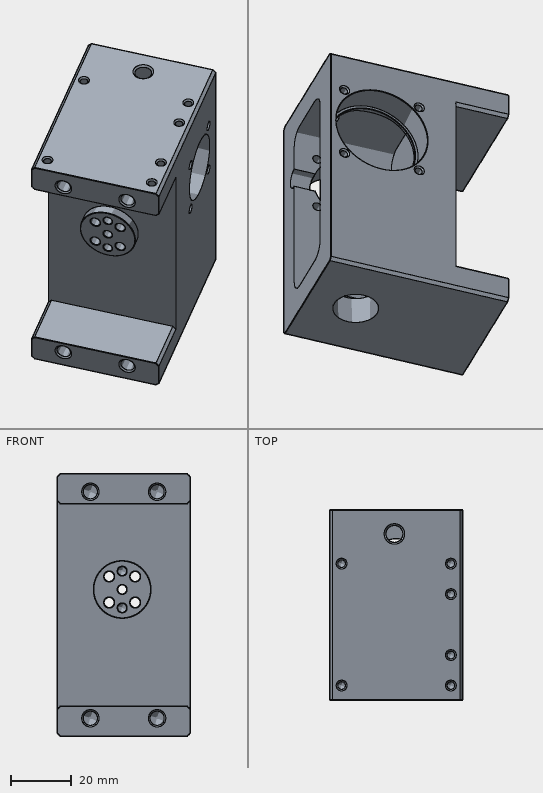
import cadquery as cq
import math

WIDTH = 43.8
DEPTH = 62.5
HEIGHT = 86.2
ARM_LENGTH = 18.5
ARM_THICKNESS = 9.9
LONG_EDGE_CHAMFER = 1.0
EDGE_BREAK = 0.2

BACK_Y = DEPTH / 2
FRONT_Y = -DEPTH / 2
BODY_FRONT_Y = FRONT_Y + ARM_LENGTH
LEFT_X = -WIDTH / 2
TOP_Z = HEIGHT / 2
GAP_HEIGHT = HEIGHT - 2 * ARM_THICKNESS

SIDE_WALL = ARM_THICKNESS
FRONT_WALL = ARM_THICKNESS
CAVITY_FILLET = 5.2
CAVITY_WIDTH = WIDTH - 2 * SIDE_WALL
CAVITY_HEIGHT = GAP_HEIGHT
CAVITY_DEPTH = BACK_Y - BODY_FRONT_Y - FRONT_WALL

BORE_Y = BACK_Y - 17.9
BORE_Z = 15.35
BORE_DIAMETER = 32.1
LIP_DIAMETER = 30.0
LIP_THICKNESS = 1.0
MOTOR_PILOT_DIAMETER = 22.2
MOTOR_HOLE_DIAMETER = 3.1
MOTOR_HOLE_OFFSET = 9.8
COVER_HOLE_OFFSET = 13.1
CABLE_SLOT_DIAMETER = 7.15

BOSS_X = -0.5
BOSS_Z = 5.1
BOSS_DIAMETER = 19.0
BOSS_HEIGHT = 3.2
BOSS_CENTRE_HOLE = 2.9
BOSS_RING_HOLE = 3.3
BOSS_RING_RADIUS = 6.0
BOSS_BLIND_DEPTH = 6.9

TAP_DIAMETER = 2.5
TAP_MOUTH = 3.5
TAP_DEPTH = 6.0
TOP_HOLE_X = 17.9
TOP_HOLE_PITCH = 10.0
TOP_HOLE_FRONT_Y = FRONT_Y + 4.8

ARM_HOLE_DIAMETER = 4.65
ARM_HOLE_MOUTH = 5.7
ARM_HOLE_DEPTH = 10.35
ARM_HOLE_X = 10.95
ARM_HOLE_Z = 37.15

TOP_PORT_X = -0.6
TOP_PORT_Y = BACK_Y - 7.9
TOP_PORT_DIAMETER = 5.5
TOP_PORT_MOUTH = 6.7
BOTTOM_OPENING_DIAMETER = 15.0
BOTTOM_OPENING_Y = BACK_Y - CAVITY_DEPTH / 2

DRILL_POINT_ANGLE = 118
SELECTION_MARGIN = 0.1
INTO_X = (1, 0, 0)
INTO_Y = (0, 1, 0)
FORWARD = (0, -1, 0)
DOWN = (0, 0, -1)


def cylinder(point, direction, diameter, length):
    """Round bar starting at a point and running along a direction."""
    return cq.Workplane(cq.Solid.makeCylinder(diameter / 2, length, cq.Vector(point), cq.Vector(direction)))


def cone(point, direction, diameter, end_diameter, length):
    """Round taper starting at a point and running along a direction."""
    return cq.Workplane(
        cq.Solid.makeCone(diameter / 2, end_diameter / 2, length, cq.Vector(point), cq.Vector(direction))
    )


def mouth(point, direction, diameter, mouth_diameter):
    """45 degree countersink from the mouth diameter down to the hole diameter."""
    return cone(point, direction, mouth_diameter, diameter, (mouth_diameter - diameter) / 2)


def blind_hole(point, direction, diameter, depth):
    """Drilled hole with a conical bottom."""
    tip_length = diameter / 2 / math.tan(math.radians(DRILL_POINT_ANGLE / 2))
    bottom = cq.Vector(point) + cq.Vector(direction) * depth
    tip = cone(bottom, direction, diameter, 0, tip_length)
    return cylinder(point, direction, diameter, depth).union(tip)


def tapped_hole(point, direction, diameter, mouth_diameter, depth):
    """Blind hole with a countersunk mouth."""
    hole = blind_hole(point, direction, diameter, depth)
    return hole.union(mouth(point, direction, diameter, mouth_diameter))


def broken_edge(point, direction, diameter):
    """Slight countersink that takes the sharp edge off a round hole."""
    return mouth(point, direction, diameter, diameter + 2 * EDGE_BREAK)


def small_tap(point, direction):
    """Small tapped hole of the top face and the bore cover."""
    return tapped_hole(point, direction, TAP_DIAMETER, TAP_MOUTH, TAP_DEPTH)


def make_block():
    """C-shaped block with chamfered long edges, arm edges and end faces."""
    block = cq.Workplane("XY").box(WIDTH, DEPTH, HEIGHT)
    block = block.edges("|Y").chamfer(LONG_EDGE_CHAMFER)
    block = block.faces(">Y").edges().chamfer(EDGE_BREAK)
    gap = (
        cq.Workplane("XZ", origin=(0, BODY_FRONT_Y, 0))
        .rect(WIDTH, GAP_HEIGHT)
        .extrude(ARM_LENGTH)
    )
    block = block.cut(gap)
    inner_arm_edges = cq.selectors.BoxSelector(
        (-WIDTH, FRONT_Y, -GAP_HEIGHT / 2 - SELECTION_MARGIN),
        (WIDTH, BODY_FRONT_Y, GAP_HEIGHT / 2 + SELECTION_MARGIN),
    )
    block = block.edges("|Y").edges(inner_arm_edges).chamfer(LONG_EDGE_CHAMFER)
    return block.faces("<Y").edges().chamfer(EDGE_BREAK)


def make_cavity():
    """Rounded box that hollows the housing from the back."""
    return (
        cq.Workplane("XZ", origin=(0, BACK_Y, 0))
        .rect(CAVITY_WIDTH, CAVITY_HEIGHT)
        .extrude(CAVITY_DEPTH)
        .edges("|Y")
        .fillet(CAVITY_FILLET)
    )


def square_corners(offset):
    """Y and Z offsets of the corners of a square around the bore axis."""
    return [(sy * offset, sz * offset) for sy in (-1, 1) for sz in (-1, 1)]


def make_side_cuts():
    """Lipped bore, its cover holes, the motor mount and the cable slot."""
    bore_face = (LEFT_X, BORE_Y, BORE_Z)
    motor_face_x = WIDTH / 2 - SIDE_WALL
    bore_depth = SIDE_WALL - LIP_THICKNESS
    lip_face = (LEFT_X + bore_depth, BORE_Y, BORE_Z)
    cuts = cylinder(bore_face, INTO_X, BORE_DIAMETER, bore_depth)
    cuts = cuts.union(broken_edge(bore_face, INTO_X, BORE_DIAMETER))
    cuts = cuts.union(broken_edge(lip_face, INTO_X, LIP_DIAMETER))
    cuts = cuts.union(cylinder(bore_face, INTO_X, LIP_DIAMETER, WIDTH / 2))
    cuts = cuts.union(cylinder(bore_face, INTO_X, MOTOR_PILOT_DIAMETER, WIDTH))
    for dy, dz in square_corners(MOTOR_HOLE_OFFSET):
        start = (0, BORE_Y + dy, BORE_Z + dz)
        cuts = cuts.union(cylinder(start, INTO_X, MOTOR_HOLE_DIAMETER, WIDTH / 2))
    for dy, dz in square_corners(COVER_HOLE_OFFSET):
        cuts = cuts.union(small_tap((LEFT_X, BORE_Y + dy, BORE_Z + dz), INTO_X))
    slot_start = (motor_face_x, BORE_Y, BORE_Z)
    return cuts.union(cylinder(slot_start, INTO_Y, CABLE_SLOT_DIAMETER, BACK_Y - BORE_Y))


def make_boss():
    """Round boss with a broken front edge, standing on the front wall."""
    boss = cylinder((BOSS_X, BODY_FRONT_Y, BOSS_Z), FORWARD, BOSS_DIAMETER, BOSS_HEIGHT)
    return boss.faces("<Y").edges().chamfer(EDGE_BREAK)


def make_boss_cuts():
    """Centre hole and four diagonal holes into the cavity, two blind holes above and below."""
    face_y = BODY_FRONT_Y - BOSS_HEIGHT
    through = BOSS_HEIGHT + FRONT_WALL
    centre = (BOSS_X, face_y, BOSS_Z)
    cuts = cylinder(centre, INTO_Y, BOSS_CENTRE_HOLE, through)
    cuts = cuts.union(broken_edge(centre, INTO_Y, BOSS_CENTRE_HOLE))
    for angle in (45, 135, 225, 315):
        x = BOSS_X + BOSS_RING_RADIUS * math.cos(math.radians(angle))
        z = BOSS_Z + BOSS_RING_RADIUS * math.sin(math.radians(angle))
        start = (x, face_y, z)
        cuts = cuts.union(cylinder(start, INTO_Y, BOSS_RING_HOLE, through))
        cuts = cuts.union(broken_edge(start, INTO_Y, BOSS_RING_HOLE))
    for dz in (-BOSS_RING_RADIUS, BOSS_RING_RADIUS):
        start = (BOSS_X, face_y, BOSS_Z + dz)
        cuts = cuts.union(blind_hole(start, INTO_Y, BOSS_CENTRE_HOLE, BOSS_BLIND_DEPTH))
        cuts = cuts.union(broken_edge(start, INTO_Y, BOSS_CENTRE_HOLE))
    return cuts


def make_arm_holes():
    """Two tapped holes in the end of each arm."""
    cuts = cq.Workplane()
    for x in (-ARM_HOLE_X, ARM_HOLE_X):
        for z in (-ARM_HOLE_Z, ARM_HOLE_Z):
            start = (x, FRONT_Y, z)
            cuts = cuts.add(
                tapped_hole(start, INTO_Y, ARM_HOLE_DIAMETER, ARM_HOLE_MOUTH, ARM_HOLE_DEPTH)
            )
    return cuts.combine()


def make_top_holes():
    """Tapped holes on a common pitch: two along the left edge, four along the right edge."""
    cuts = cq.Workplane()
    for x, steps in ((-TOP_HOLE_X, (0, 4)), (TOP_HOLE_X, (0, 1, 3, 4))):
        for step in steps:
            y = TOP_HOLE_FRONT_Y + step * TOP_HOLE_PITCH
            cuts = cuts.add(small_tap((x, y, TOP_Z), DOWN))
    return cuts.combine()


def make_ports():
    """Countersunk port through the top wall and a round opening through the bottom wall."""
    start = (TOP_PORT_X, TOP_PORT_Y, TOP_Z)
    port = cylinder(start, DOWN, TOP_PORT_DIAMETER, ARM_THICKNESS)
    port = port.union(mouth(start, DOWN, TOP_PORT_DIAMETER, TOP_PORT_MOUTH))
    opening_start = (0, BOTTOM_OPENING_Y, -GAP_HEIGHT / 2)
    return port.union(cylinder(opening_start, DOWN, BOTTOM_OPENING_DIAMETER, ARM_THICKNESS))


result = (
    make_block()
    .union(make_boss())
    .cut(make_cavity())
    .cut(make_side_cuts())
    .cut(make_boss_cuts())
    .cut(make_arm_holes())
    .cut(make_top_holes())
    .cut(make_ports())
)